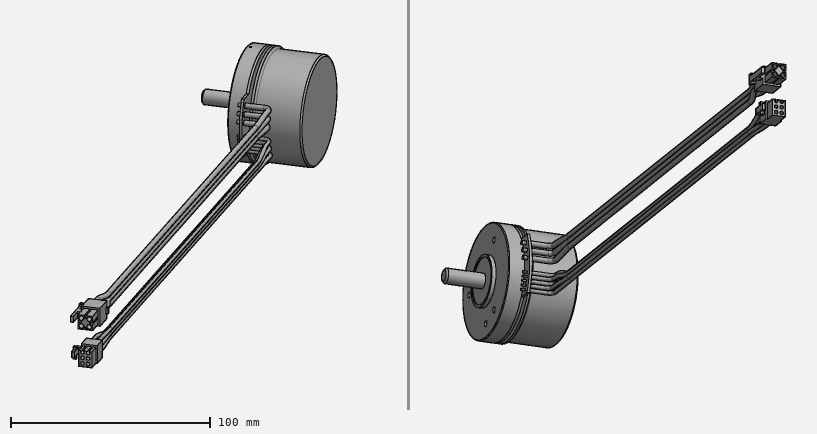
import cadquery as cq
import math


shaft_radius = 4.0
shaft_tip_x = -22.7
shaft_chamfer = 1.0

flange_radius = 30.0
flange_thickness = 8.5
flange_chamfer = 0.5
boss_radius = 13.5
boss_height = 2.2
boss_recess_radius = 12.2
boss_recess_depth = 0.5
core_radius = 24.5
screw_hole_radius = 1.5
screw_hole_depth = 6.0
screw_circle_radius = 21.4
screw_count = 3
locating_hole_radius = 1.5
locating_hole_offset = 22.4
edge_hole_radius = 0.6
edge_hole_depth = 3.0
edge_hole_x = 2.2

board_thickness = 1.4
board_back_x = flange_thickness + board_thickness
tab_radius = 36.7
tab_half_width = 15.5

rotor_gap = 1.7
rotor_front_x = board_back_x + rotor_gap
rotor_rear_x = 38.6
rim_radius = 30.0
rim_thickness = 1.4
rim_root_fillet = 1.0
rotor_radius = 28.6
rotor_chamfer = 0.9

stub_front_x = 6.3
stub_circle_radius = 33.3
bend_radius = 3.0
cable_x = 22.9
fan_in_end_y = -54.5
fan_out_start_y = -287.0
cable_end_y = -323.93
pin_cavity_depth = 5.0
entry_straight = 6.0
entry_depth = 3.0

power_stub_radius = 1.05
power_wire_radius = 1.45
power_stub_pitch = 4.25
power_lane_pitch = 2.85
power_z = 7.05
power_plug_z = 8.5
power_pole_pitch = 4.2
power_cavity_radius = 1.2
power_plug_start_y = -304.2

signal_stub_radius = 0.55
signal_wire_radius = 1.05
signal_stub_pitch = 2.13
signal_stub_z = -9.05
signal_lane_pitch = 2.05
signal_column_offset = 0.8
signal_z = -11.2
signal_plug_z = -10.7
signal_pole_pitch = 3.0
signal_cavity_radius = 0.9
signal_plug_start_y = -309.5


def cylinder_x(radius, start_x, end_x, y=0.0, z=0.0):
    """Round bar parallel to X."""
    bar = cq.Workplane("YZ", origin=(start_x, 0, 0)).center(y, z)
    return bar.circle(radius).extrude(end_x - start_x)


def block(x_range, y_range, z_range):
    """Rectangular block between the given limits."""
    size = [limits[1] - limits[0] for limits in (x_range, y_range, z_range)]
    corner = (x_range[0], y_range[0], z_range[0])
    return cq.Workplane("XY").box(*size, centered=False).translate(corner)


def centred(middle, width):
    """Limits of a span of the given width about its middle."""
    return (middle - width / 2, middle + width / 2)


def stub_y(z):
    """Y of a solder point at height z, on the circle that all the solder points share."""
    return -math.sqrt(stub_circle_radius**2 - z**2)


def evenly_spaced(middle, pitch, count):
    """Heights of a row of items from the top down."""
    return [middle + pitch * ((count - 1) / 2 - i) for i in range(count)]


power_stub_heights = evenly_spaced(power_z, power_stub_pitch, 3)
signal_stub_heights = evenly_spaced(signal_stub_z, signal_stub_pitch, 5)


def make_housing():
    body = cylinder_x(flange_radius, 0, flange_thickness).faces("<X").chamfer(flange_chamfer)
    body = body.union(cylinder_x(boss_radius, -boss_height, 0))
    body = body.cut(cylinder_x(boss_recess_radius, -boss_height, boss_recess_depth - boss_height))
    body = body.union(cylinder_x(core_radius, flange_thickness, rotor_front_x))
    body = body.cut(cylinder_x(shaft_radius, -boss_height, rotor_front_x))
    for i in range(screw_count):
        angle = 2 * math.pi * i / screw_count
        y = screw_circle_radius * math.cos(angle)
        z = screw_circle_radius * math.sin(angle)
        body = body.cut(cylinder_x(screw_hole_radius, 0, screw_hole_depth, y, z))
    body = body.cut(cylinder_x(locating_hole_radius, 0, screw_hole_depth, 0, -locating_hole_offset))
    edge_hole = cq.Workplane("XY", origin=(edge_hole_x, 0, flange_radius - edge_hole_depth))
    return body.cut(edge_hole.circle(edge_hole_radius).extrude(edge_hole_depth))


def make_board():
    board = cylinder_x(flange_radius, flange_thickness, board_back_x)
    tab = cylinder_x(tab_radius, flange_thickness, board_back_x)
    tab_limits = block(
        (flange_thickness, board_back_x), (-tab_radius, 0), (-tab_half_width, tab_half_width)
    )
    board = board.union(tab.intersect(tab_limits))
    board = board.cut(cylinder_x(core_radius, flange_thickness, board_back_x))
    for heights, radius in (
        (power_stub_heights, power_stub_radius),
        (signal_stub_heights, signal_stub_radius),
    ):
        for z in heights:
            board = board.cut(cylinder_x(radius, flange_thickness, board_back_x, stub_y(z), z))
    return board


def make_rotor():
    rim_rear_x = rotor_front_x + rim_thickness
    root_end_x = rim_rear_x + rim_root_fillet
    root_top_radius = rotor_radius + rim_root_fillet
    root_mid_x = root_end_x - rim_root_fillet * math.sqrt(0.5)
    root_mid_radius = root_top_radius - rim_root_fillet * math.sqrt(0.5)
    profile = (
        cq.Workplane("XY")
        .moveTo(shaft_tip_x, 0)
        .lineTo(shaft_tip_x, shaft_radius - shaft_chamfer)
        .lineTo(shaft_tip_x + shaft_chamfer, shaft_radius)
        .lineTo(rotor_front_x, shaft_radius)
        .lineTo(rotor_front_x, rim_radius)
        .lineTo(rim_rear_x, rim_radius)
        .lineTo(rim_rear_x, root_top_radius)
        .threePointArc((root_mid_x, root_mid_radius), (root_end_x, rotor_radius))
        .lineTo(rotor_rear_x - rotor_chamfer, rotor_radius)
        .lineTo(rotor_rear_x, rotor_radius - rotor_chamfer)
        .lineTo(rotor_rear_x, 0)
        .close()
    )
    return profile.revolve(360, (0, 0, 0), (1, 0, 0))


def make_wire(stub_z, lane, entry, stub_radius, wire_radius, plug_start_y):
    """One wire: bare stub through the board, bend to -Y, straight lane, then its plug entry.

    lane and entry are the (x, z) of the wire in the cable and at the plug.
    """
    lane_x, lane_z = lane
    entry_x, entry_z = entry
    y = stub_y(stub_z)
    bend_mid_shift = bend_radius * math.sqrt(0.5)
    bend_start = cq.Vector(lane_x - bend_radius, y, stub_z)
    bend_mid = cq.Vector(
        bend_start.x + bend_mid_shift, y - bend_radius + bend_mid_shift, stub_z
    )
    bend_end = cq.Vector(lane_x, y - bend_radius, stub_z)
    lane_start = cq.Vector(lane_x, fan_in_end_y, lane_z)
    lane_end = cq.Vector(lane_x, fan_out_start_y, lane_z)
    entry_start = cq.Vector(entry_x, plug_start_y + entry_straight, entry_z)
    entry_end = cq.Vector(entry_x, plug_start_y - entry_depth, entry_z)
    along = cq.Vector(0, -1, 0)
    path = cq.Wire.assembleEdges([
        cq.Edge.makeLine(cq.Vector(board_back_x, y, stub_z), bend_start),
        cq.Edge.makeThreePointArc(bend_start, bend_mid, bend_end),
        cq.Edge.makeSpline([bend_end, lane_start], tangents=[along, along]),
        cq.Edge.makeLine(lane_start, lane_end),
        cq.Edge.makeSpline([lane_end, entry_start], tangents=[along, along]),
        cq.Edge.makeLine(entry_start, entry_end),
    ])
    section = cq.Workplane("YZ", origin=(board_back_x, 0, 0)).center(y, stub_z)
    wire = section.circle(wire_radius).sweep(cq.Workplane(path))
    return wire.union(cylinder_x(stub_radius, stub_front_x, board_back_x, y, stub_z))


def cut_pin_cavities(plug, plug_z, pitch, rows, radius):
    """Cut two columns of round pin cavities into the end of a plug."""
    for x in evenly_spaced(cable_x, pitch, 2):
        for z in evenly_spaced(plug_z, pitch, rows):
            cavity = cq.Workplane("XZ", origin=(x, cable_end_y + pin_cavity_depth, z))
            plug = plug.cut(cavity.circle(radius).extrude(pin_cavity_depth))
    return plug


def make_power_plug():
    collar_width, collar_length = 11.8, 1.6
    shell_width, shell_height, shell_length = 9.7, 9.7, 10.7
    nose_width, nose_height = 7.7, 7.7
    slot_width, slot_depth = 0.9, 1.6
    lever_x, lever_thickness, lever_width = 14.4, 1.5, 3.2
    pad_width, pad_length = 5.6, 2.4
    lever_end_y = -321.8
    bridge_length = 4.0

    start_y = power_plug_start_y
    shell_end_y = start_y - shell_length
    shell_x = centred(cable_x, shell_width)
    lever_z = centred(power_plug_z, lever_width)
    plug = block(shell_x, (shell_end_y, start_y), centred(power_plug_z, shell_height))
    plug = plug.union(block(centred(cable_x, collar_width), (start_y - collar_length, start_y), lever_z))
    plug = plug.union(block(
        centred(cable_x, nose_width), (cable_end_y, start_y), centred(power_plug_z, nose_height)
    ))

    nose_y = (cable_end_y, shell_end_y)
    for side in (-1, 1):
        slot_z = centred(power_plug_z + side * nose_height / 2, 2 * slot_depth)
        slot_x = centred(cable_x + side * nose_width / 2, 2 * slot_depth)
        plug = plug.cut(block(centred(cable_x, slot_width), nose_y, slot_z))
        plug = plug.cut(block(slot_x, nose_y, centred(power_plug_z, slot_width)))

    plug = cut_pin_cavities(plug, power_plug_z, power_pole_pitch, 2, power_cavity_radius)

    pad_start_y = start_y - collar_length
    lever_x_range = (lever_x, lever_x + lever_thickness)
    plug = plug.union(block(lever_x_range, (lever_end_y, pad_start_y), lever_z))
    plug = plug.union(block(
        lever_x_range, (pad_start_y - pad_length, pad_start_y), centred(power_plug_z, pad_width)
    ))
    return plug.union(block(
        (lever_x, shell_x[0] + lever_thickness), (shell_end_y, shell_end_y + bridge_length), lever_z
    ))


def make_power_cable():
    cable = make_power_plug()
    lane_heights = evenly_spaced(power_z, power_lane_pitch, 3)
    half_pitch = power_pole_pitch / 2
    entries = [
        (cable_x - half_pitch, power_plug_z + half_pitch),
        (cable_x + half_pitch, power_plug_z - half_pitch),
        (cable_x - half_pitch, power_plug_z - half_pitch),
    ]
    for stub_z, lane_z, entry in zip(power_stub_heights, lane_heights, entries):
        cable = cable.union(make_wire(
            stub_z, (cable_x, lane_z), entry,
            power_stub_radius, power_wire_radius, power_plug_start_y,
        ))
    return cable


def make_signal_plug():
    shell_width, shell_height, shell_length = 8.4, 9.6, 8.0
    nose_width, nose_height, nose_drop = 7.0, 8.6, 0.5
    lever_x, lever_thickness, lever_width = 14.9, 1.5, 3.2
    lever_start_y, lever_end_y = -313.0, -321.5
    bar_width, bar_length = 6.6, 1.6
    bridge_length = 2.0

    start_y = signal_plug_start_y
    shell_end_y = start_y - shell_length
    shell_x = centred(cable_x, shell_width)
    lever_z = centred(signal_plug_z, lever_width)
    lever_x_range = (lever_x, lever_x + lever_thickness)
    plug = block(shell_x, (shell_end_y, start_y), centred(signal_plug_z, shell_height))
    plug = plug.union(block(
        centred(cable_x, nose_width),
        (cable_end_y, start_y),
        centred(signal_plug_z - nose_drop, nose_height),
    ))
    plug = cut_pin_cavities(plug, signal_plug_z, signal_pole_pitch, 3, signal_cavity_radius)
    plug = plug.union(block(lever_x_range, (lever_end_y, lever_start_y), lever_z))
    plug = plug.union(block(
        lever_x_range,
        (shell_end_y - bar_length, shell_end_y),
        centred(signal_plug_z, bar_width),
    ))
    return plug.union(block(
        (lever_x, shell_x[0] + lever_thickness),
        (lever_start_y - bridge_length, lever_start_y),
        lever_z,
    ))


def make_signal_cable():
    cable = make_signal_plug()
    lane_heights = evenly_spaced(signal_z, signal_lane_pitch / 2, 5)
    pole_heights = evenly_spaced(signal_plug_z, signal_pole_pitch, 3)
    entry_heights = [pole_heights[0], pole_heights[0], pole_heights[1], pole_heights[2], pole_heights[2]]
    for i, (stub_z, lane_z, entry_z) in enumerate(zip(signal_stub_heights, lane_heights, entry_heights)):
        side = 1 if i % 2 == 0 else -1
        lane = (cable_x + side * signal_column_offset, lane_z)
        entry = (cable_x + side * signal_pole_pitch / 2, entry_z)
        cable = cable.union(make_wire(
            stub_z, lane, entry, signal_stub_radius, signal_wire_radius, signal_plug_start_y,
        ))
    return cable


housing = make_housing()
board = make_board()
rotor = make_rotor()
power_cable = make_power_cable()
signal_cable = make_signal_cable()

result = cq.Compound.makeCompound([
    housing.solids().val(),
    board.solids().val(),
    rotor.solids().val(),
    power_cable.solids().val(),
    signal_cable.solids().val(),
])